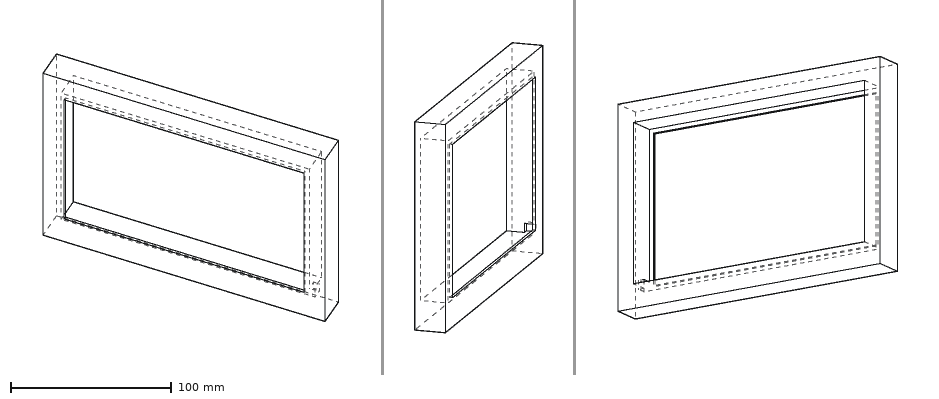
import cadquery as cq

WIDTH = 194.0
DEPTH = 20.2
HEIGHT = 135.0

SIDE_RAIL = 14.5
TOP_RAIL = 16.7
BOTTOM_RAIL = 19.0

LIP_THICKNESS = 2.0
REBATE_MARGIN = 3.0

NOTCH_REAR = 8.3
NOTCH_HEIGHT = 5.8
NOTCH_REACH = 3.9


def box_between(x_min, x_max, y_min, y_max, z_min, z_max):
    """Box spanning the given limits."""
    size = (x_max - x_min, y_max - y_min, z_max - z_min)
    return cq.Workplane("XY").box(*size, centered=False).translate((x_min, y_min, z_min))


def opening(margin, y_start):
    """Rectangular opening, grown by a margin, running to the rear face."""
    return box_between(
        SIDE_RAIL - margin, WIDTH - SIDE_RAIL + margin,
        y_start, DEPTH,
        BOTTOM_RAIL - margin, HEIGHT - TOP_RAIL + margin,
    )


frame = box_between(0, WIDTH, 0, DEPTH, 0, HEIGHT)
window = opening(0, 0)
rebate = opening(REBATE_MARGIN, LIP_THICKNESS)

rebate_right = WIDTH - SIDE_RAIL + REBATE_MARGIN
rebate_floor = BOTTOM_RAIL - REBATE_MARGIN
notch = box_between(
    rebate_right, rebate_right + NOTCH_REACH,
    LIP_THICKNESS, NOTCH_REAR,
    rebate_floor, rebate_floor + NOTCH_HEIGHT,
)

result = frame.cut(window).cut(rebate).cut(notch)